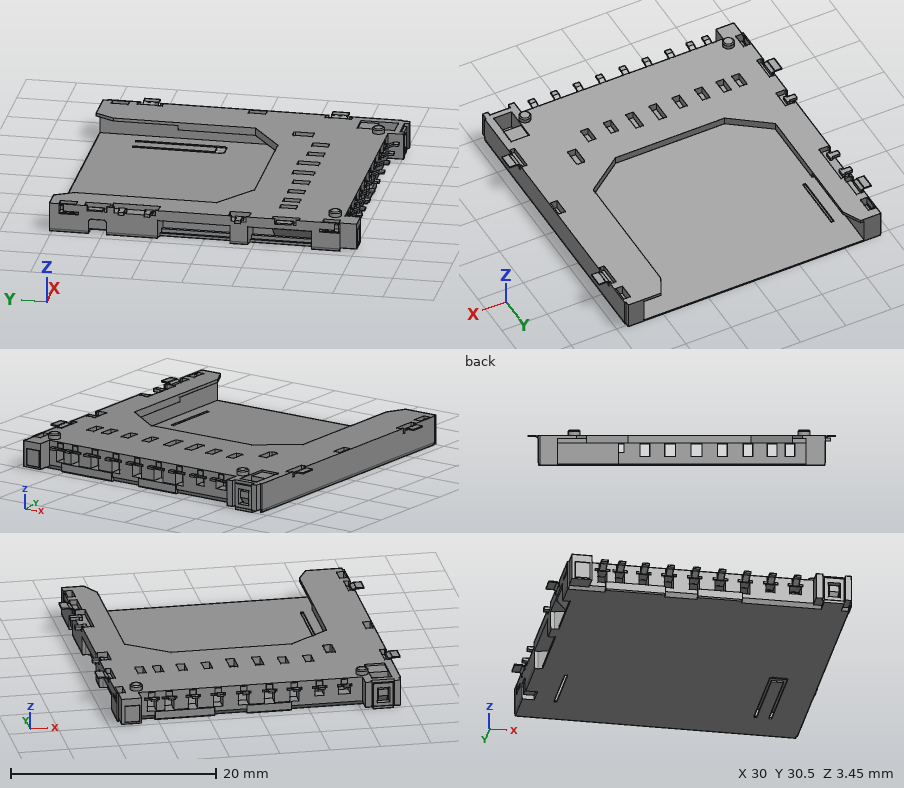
import cadquery as cq


housing_half_width = 13.85
shell_thickness = 0.15
shell_half_width = housing_half_width + shell_thickness
length = 30.5
back = length / 2
block_front = -length / 2
wall_front = -13.72
shell_front_left = -13.6
shell_front_right = -14.52
shell_back_right = 14.8
top = 2.93
block_bottom = 0.3
shell_bottom_chamfer = (0.27, 0.05)

cavity_half_width = 12.15
cavity_front = -12.5
floor_top = 0.15
roof_bottom = 2.17
thin_roof_bottom = 2.62
thin_roof_front = 6.92

cutout_left = -10.8
cutout_right = 9.27
cutout_flare = 0.98
cutout_flare_y = 13.35
cutout_shoulder_y = -0.75
cutout_front_y = -3.75
cutout_corner_width = 4.03

slit_width = 0.27
left_slit_y = (5.52, 11.5)
tongue_slit_y = (2.32, 11.4)
tongue_pitch = 1.5
tongue_end_gap = 0.98
tongue_corner_chamfer = 0.25

left_block_right = -11.85
right_block_left = 10.37
panel_x = (-13.5, -12.05)
panel_z = (0.5, 2.17)
panel_depth = 0.1

bay_x = (11.2, 13.18)
bay_y = (-14.2, -10.5)
bay_step_y = -12.25
bay_shelf_depth = 0.18
bay_floor = 0.9
slider_z = (0.27, 2.65)
slider_recess_depth = 0.18
slider_hole_x = (11.6, 12.8)
slider_hole_z = (0.65, 2.17)
slider_hole_depth = 0.6
slider_latch_top = 1.95
slider_latch_slope = (0.65, 0.43)
slider_latch_gap = 0.15
slider_gap_x = (11.0, 13.27)
slider_gap_depth = 0.45
slider_foot_front = -15.0

contact_x = (-10.55, -8.8, -6.47, -3.95, -1.43, 1.13, 3.6, 6.1, 8.57)
window_width = 0.9
window_z = (0.88, 2.07)
short_window_bottom = 1.28
short_window_count = 2
long_window_width = 1.05
last_window_width = 1.15
contact_width = 1.43
contact_z = (2.1, 2.3)
contact_step = 0.12
tail_width = 0.65
tail_front = -15.13
tail_bend_y = -14.6
tail_thickness = 0.18
tail_top = 2.65
tail_notch_depth = 0.1
tail_notch_top = 2.8
lip_spans = ((-10.25, -4.33), (-1.13, 3.3))
lip_thickness = 0.2
lip_chamfer = 0.12
foot_height = 0.43
foot_setback = 0.3

mechanism_left = 6.15
mechanism_back = -9.75
mechanism_slope = (0.58, 0.3)

slot_width = 0.82
slot_front = -8.65
slot_length = 1.65
long_slot_length = 2.15
long_contacts = (4, 5)
end_slot_x = (8.1, 9.03)
end_slot_y = (-6.65, -4.65)
end_slot_chamfer = 0.15

peg_x = (-11.93, 10.5)
peg_y = -12.75
peg_diameter = 1.2
peg_top = 3.45
peg_chamfer = 0.12

edge_openings = (
    (-1, 13.1, (9.27, 11.77)),
    (-1, 12.85, (4.45, 9.1)),
    (-1, 12.85, (-4.55, -2.53)),
    (-1, 13.35, (-9.52, -6.85)),
    (1, 13.35, (9.27, 11.77)),
    (1, 13.35, (-9.52, -6.85)),
)
opening_floor = 2.38
opening_shell_inset = 0.27

tab_reach = 15.0
tab_bend_reach = 14.25
tab_root_top = 2.75
tab_thickness = 0.12
tab_spans = ((9.8, 11.32), (-9.0, -7.38))

terminal_y = (8.05, 5.45, -3.55)
terminal_reach = 14.52
terminal_inner = 13.35
terminal_head_outer = 13.65
terminal_width = 0.55
terminal_head_width = 0.82
terminal_thickness = 0.3

latch_inner = 13.1
latch_floor = 1.98
left_latch_spans = ((12.63, 14.3), (-13.48, -11.85))
right_latch_spans = ((12.63, 14.3), (-1.05, 0.7))

side_slit_z = (1.9, 2.17)
side_slit_leg = 0.43
side_slit_length = 1.92
side_window_spans = ((-2.68, 4.5), (-10.77, -4.42))
side_window_top = 1.9
side_window_depth = 1.37
side_ledge_top = 0.65
side_ledge_depth = 1.07
side_sill_top = 0.27
side_sill_depth = 0.8
side_jamb_inset = 0.37
side_jamb_width = 0.27
side_overhang_back = -6.85
side_notch_y = (9.58, 11.38)
side_notch_top = 1.52
side_notch_chamfer = 0.2
side_notch_sill = 0.5
side_notch_depth = 1.22


def box(x, y, z):
    """Box between pairs of limits along X, Y and Z."""
    size = (x[1] - x[0], y[1] - y[0], z[1] - z[0])
    return cq.Workplane("XY").box(*size, centered=False).translate((x[0], y[0], z[0]))


def centred(middle, width):
    """Pair of limits of the given width around a middle."""
    return (middle - width / 2, middle + width / 2)


def side_span(side, inner, outer):
    """X limits between two distances from the middle, on side -1 or +1."""
    return tuple(sorted((side * inner, side * outer)))


def make_housing():
    body = box((-housing_half_width, housing_half_width), (wall_front, back), (0, top))
    body = body.faces("<Y").edges("<Z").chamfer(foot_height, foot_setback)
    for x in ((-housing_half_width, left_block_right), (right_block_left, housing_half_width)):
        body = body.union(box(x, (block_front, wall_front + foot_setback), (block_bottom, top)))
    body = body.union(box(bay_x, (slider_foot_front, wall_front + foot_setback), (0, block_bottom)))
    left_shell = box((-shell_half_width, -housing_half_width), (shell_front_left, back), (0, top))
    left_shell = left_shell.faces("<X").edges("<Z").chamfer(*shell_bottom_chamfer)
    right_shell = box(
        (housing_half_width, shell_half_width), (shell_front_right, shell_back_right), (0, top)
    )
    right_shell = right_shell.faces(">X").edges("<Z").chamfer(*shell_bottom_chamfer)
    return body.union(left_shell).union(right_shell)


def cut_cavity(body):
    cavity = box((-cavity_half_width, cavity_half_width), (cavity_front, back), (floor_top, roof_bottom))
    cavity = cavity.union(
        box((-cavity_half_width, cavity_half_width), (thin_roof_front, back), (floor_top, thin_roof_bottom))
    )
    mechanism = box(
        (mechanism_left, cavity_half_width), (cavity_front, mechanism_back), (floor_top, roof_bottom)
    )
    mechanism = mechanism.faces("<Y").edges(">Z").chamfer(*mechanism_slope)
    return body.cut(cavity.cut(mechanism))


def cut_finger_cutout(body):
    half_outline = [
        (cutout_left - cutout_flare, back),
        (cutout_left, cutout_flare_y),
        (cutout_left, cutout_shoulder_y),
        (cutout_left + cutout_corner_width, cutout_front_y),
    ]
    mirror_sum = cutout_left + cutout_right
    outline = half_outline + [(mirror_sum - x, y) for x, y in reversed(half_outline)]
    cutout = cq.Workplane("XY").workplane(offset=roof_bottom).polyline(outline).close().extrude(top)
    return body.cut(cutout)


def cut_floor_slits(body):
    z = (0, floor_top)
    body = body.cut(box((cutout_left, cutout_left + slit_width), left_slit_y, z))
    first = cutout_right - slit_width
    last = first + tongue_pitch
    slit_y = (tongue_slit_y[0] + tongue_end_gap, tongue_slit_y[1])
    for x in (first, last):
        body = body.cut(box((x, x + slit_width), slit_y, z))
    end_y = (tongue_slit_y[0], tongue_slit_y[0] + tongue_end_gap)
    tongue_end = box((first, last + slit_width), end_y, z)
    tongue_end = tongue_end.edges("|Z and <Y").chamfer(tongue_corner_chamfer)
    return body.cut(tongue_end)


def cut_roof_slots(body):
    z = (roof_bottom, top)
    for index, x in enumerate(contact_x[:-1]):
        slot = long_slot_length if index in long_contacts else slot_length
        body = body.cut(box(centred(x, slot_width), (slot_front, slot_front + slot), z))
    end_slot = box(end_slot_x, end_slot_y, z).edges("|Z and >Y").chamfer(end_slot_chamfer)
    return body.cut(end_slot)


def add_contacts(body):
    last = len(contact_x) - 1
    tail_profile = [
        (wall_front + contact_step, contact_z[0]),
        (wall_front - contact_step, contact_z[0]),
        (tail_bend_y, tail_top - tail_thickness),
        (tail_front, tail_top - tail_thickness),
        (tail_front, tail_top),
        (tail_bend_y, tail_top),
        (wall_front - contact_step, contact_z[1]),
        (wall_front + contact_step, contact_z[1]),
    ]
    for index, x in enumerate(contact_x):
        width = window_width
        if index in long_contacts:
            width = long_window_width
        elif index == last:
            width = last_window_width
        is_short = index > last - short_window_count
        bottom = short_window_bottom if is_short else window_z[0]
        body = body.cut(
            box(centred(x, width), (wall_front, cavity_front), (bottom, window_z[1]))
        )
        notch_y = (wall_front, wall_front + tail_notch_depth)
        body = body.cut(box(centred(x, tail_width), notch_y, (contact_z[1], tail_notch_top)))
        bar_y = (wall_front - contact_step, cavity_front)
        body = body.union(box(centred(x, contact_width), bar_y, contact_z))
        tail = cq.Workplane("YZ").polyline(tail_profile).close().extrude(tail_width / 2, both=True)
        body = body.union(tail.translate((x, 0, 0)))
    return body


def add_front_lips(body):
    for x in lip_spans:
        lip_y = (wall_front - lip_thickness, wall_front + foot_setback)
        lip = box(x, lip_y, (0, window_z[0]))
        body = body.union(lip.edges("|X and <Y and <Z").chamfer(lip_chamfer))
    return body


def cut_corner_blocks(body):
    body = body.cut(box(panel_x, (block_front, block_front + panel_depth), panel_z))
    body = body.cut(box(bay_x, (bay_step_y, bay_y[1]), (top - bay_shelf_depth, top)))
    body = body.cut(box(bay_x, (bay_y[0], bay_step_y), (bay_floor, top)))
    gap_back = block_front + slider_gap_depth
    slider_front = block_front + slider_recess_depth
    hole_back = slider_front + slider_hole_depth
    body = body.cut(box(slider_gap_x, (block_front, gap_back), (slider_z[0], top)))
    body = body.union(box(bay_x, (slider_front, gap_back), slider_z))
    body = body.cut(box(slider_hole_x, (slider_front, hole_back), slider_hole_z))

    latch_x = (slider_hole_x[0] + slider_latch_gap, slider_hole_x[1] - slider_latch_gap)
    latch = box(latch_x, (slider_front + slider_latch_gap, hole_back), (slider_hole_z[0], slider_latch_top))
    latch = latch.faces("<Y").edges("<Z").chamfer(*slider_latch_slope)
    return body.union(latch)


def add_pegs(body):
    for x in peg_x:
        peg = cq.Workplane("XY").circle(peg_diameter / 2).extrude(peg_top - roof_bottom)
        peg = peg.faces(">Z").chamfer(peg_chamfer).translate((x, peg_y, roof_bottom))
        body = body.union(peg)
    return body


def cut_edge_openings(body):
    for side, inner, y in edge_openings:
        roof_x = side_span(side, inner, housing_half_width)
        body = body.cut(box(roof_x, y, (opening_floor, top)))
        shell_x = side_span(side, housing_half_width, shell_half_width)
        shell_y = (y[0] + opening_shell_inset, y[1] - opening_shell_inset)
        body = body.cut(box(shell_x, shell_y, (opening_floor, top)))
    return body


def add_solder_tabs(body):
    profile = [
        (shell_half_width, opening_floor),
        (housing_half_width, opening_floor),
        (housing_half_width, tab_root_top),
        (tab_bend_reach, top),
        (tab_reach, top),
        (tab_reach, top - tab_thickness),
        (tab_bend_reach, top - tab_thickness),
        (shell_half_width, tab_root_top - tab_thickness),
    ]
    for y in tab_spans:
        tab = cq.Workplane("XZ").polyline(profile).close().extrude(y[0] - y[1])
        tab = tab.translate((0, y[0], 0))
        body = body.union(tab).union(tab.mirror("YZ"))
    return body


def add_switch_terminals(body):
    z = (opening_floor, opening_floor + terminal_thickness)
    for y in terminal_y:
        body = body.union(box((-terminal_reach, -terminal_inner), centred(y, terminal_width), z))
        head_x = (-terminal_head_outer, -terminal_inner)
        body = body.union(box(head_x, centred(y, terminal_head_width), z))
    return body


def cut_latch_windows(body):
    for side, spans in ((-1, left_latch_spans), (1, right_latch_spans)):
        x = side_span(side, latch_inner, housing_half_width)
        for y in spans:
            body = body.cut(box(x, y, (latch_floor, top)))
    return body


def cut_left_side(body):
    outer = -shell_half_width
    shell_x = (outer, -housing_half_width)

    back_end = left_latch_spans[0][1]
    front_end = left_latch_spans[1][0]
    for end, direction in ((back_end, -1), (front_end, 1)):
        foot = sorted((end, end + direction * side_slit_length))
        leg = sorted((end, end + direction * side_slit_leg))
        body = body.cut(box(shell_x, foot, side_slit_z))
        body = body.cut(box(shell_x, leg, (side_slit_z[0], top - shell_thickness)))

    wall = outer + side_window_depth
    for y in side_window_spans:
        body = body.cut(box((outer, wall), y, (side_ledge_top, side_window_top)))
        body = body.cut(box((outer, outer + side_ledge_depth), y, (side_sill_top, side_ledge_top)))
        body = body.cut(box((outer, outer + side_sill_depth), y, (0, side_sill_top)))
        jamb_outline = [(outer + side_jamb_inset, y[1]), (wall, y[1]), (wall, y[1] - side_jamb_width)]
        jamb = cq.Workplane("XY").polyline(jamb_outline).close().extrude(side_window_top)
        body = body.union(jamb)

    overhang_y = (side_window_spans[1][0], side_overhang_back)
    overhang = (
        cq.Workplane("XZ")
        .polyline([(wall, side_ledge_top), (wall, side_window_top), (-housing_half_width, side_window_top)])
        .close()
        .extrude(overhang_y[0] - overhang_y[1])
        .translate((0, overhang_y[0], 0))
    )
    body = body.union(overhang)

    notch = box(shell_x, side_notch_y, (0, side_notch_top))
    notch = notch.edges("|X and >Z").chamfer(side_notch_chamfer)
    undercut = box((outer, outer + side_notch_depth), side_notch_y, (0, side_notch_sill))
    return body.cut(notch).cut(undercut)


part = make_housing()
part = cut_cavity(part)
part = cut_finger_cutout(part)
part = cut_floor_slits(part)
part = cut_roof_slots(part)
part = cut_corner_blocks(part)
part = cut_latch_windows(part)
part = cut_left_side(part)
part = cut_edge_openings(part)
part = add_solder_tabs(part)
part = add_switch_terminals(part)
part = add_front_lips(part)
part = add_contacts(part)
part = add_pegs(part)

result = part